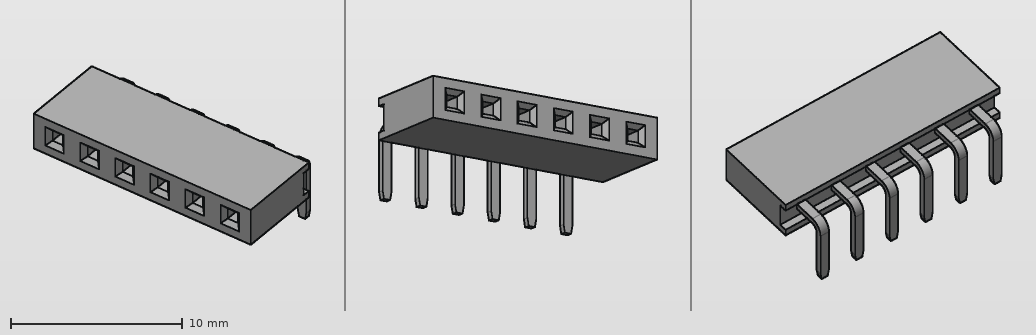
import cadquery as cq

housing_length = 15.74
housing_depth = 5.71
housing_height = 2.55
groove_depth = 0.52
groove_lip = 0.47

contact_count = 6
row_span = 12.7
pitch = row_span / (contact_count - 1)

mouth_side = 1.35
hole_side = 0.74
funnel_depth = 0.3
hole_depth = 3.15

overall_depth = 7.5
overall_height = 5.55
pin_width = 0.63
pin_thickness = 0.4
bend_outer_radius = 0.8
bend_inner_radius = bend_outer_radius - pin_thickness
tip_width = 0.44
tip_length = 0.5

groove_floor_y = housing_depth - groove_depth
pin_top_z = pin_thickness / 2
pin_bottom_z = housing_height / 2 - overall_height


def make_housing():
    """Block with its rear groove running the full length."""
    block = cq.Workplane("XY").box(
        housing_length, housing_depth, housing_height, centered=(True, False, True)
    )
    groove_height = housing_height - 2 * groove_lip
    groove = (
        cq.Workplane("XY")
        .box(housing_length, groove_depth, groove_height, centered=(True, False, True))
        .translate((0, groove_floor_y, 0))
    )
    return block.cut(groove)


def make_socket():
    """Cavity of one socket, running from the front face toward +Y."""
    funnel = (
        cq.Workplane("XZ")
        .rect(mouth_side, mouth_side)
        .workplane(offset=-funnel_depth)
        .rect(hole_side, hole_side)
        .loft(ruled=True)
    )
    hole = cq.Workplane("XY").box(hole_side, hole_depth, hole_side, centered=(True, False, True))
    return funnel.union(hole)


def make_pin():
    """One bent pin, rooted in the groove floor and ending in a tapered tip."""
    bar = (
        cq.Workplane("YZ")
        .moveTo(groove_floor_y, pin_top_z)
        .lineTo(overall_depth - bend_outer_radius, pin_top_z)
        .radiusArc((overall_depth, pin_top_z - bend_outer_radius), bend_outer_radius)
        .lineTo(overall_depth, pin_bottom_z)
        .lineTo(overall_depth - pin_thickness, pin_bottom_z)
        .lineTo(overall_depth - pin_thickness, pin_top_z - bend_outer_radius)
        .radiusArc((overall_depth - bend_outer_radius, pin_top_z - pin_thickness), -bend_inner_radius)
        .lineTo(groove_floor_y, pin_top_z - pin_thickness)
        .close()
        .extrude(pin_width / 2, both=True)
    )
    front_outline = (
        cq.Workplane("XZ")
        .moveTo(-pin_width / 2, pin_top_z)
        .lineTo(pin_width / 2, pin_top_z)
        .lineTo(pin_width / 2, pin_bottom_z + tip_length)
        .lineTo(tip_width / 2, pin_bottom_z)
        .lineTo(-tip_width / 2, pin_bottom_z)
        .lineTo(-pin_width / 2, pin_bottom_z + tip_length)
        .close()
        .extrude(-overall_depth)
    )
    return bar.intersect(front_outline)


result = make_housing()
socket = make_socket()
pin = make_pin()
for index in range(contact_count):
    position = (index * pitch - row_span / 2, 0, 0)
    result = result.cut(socket.translate(position))
    result = result.union(pin.translate(position))